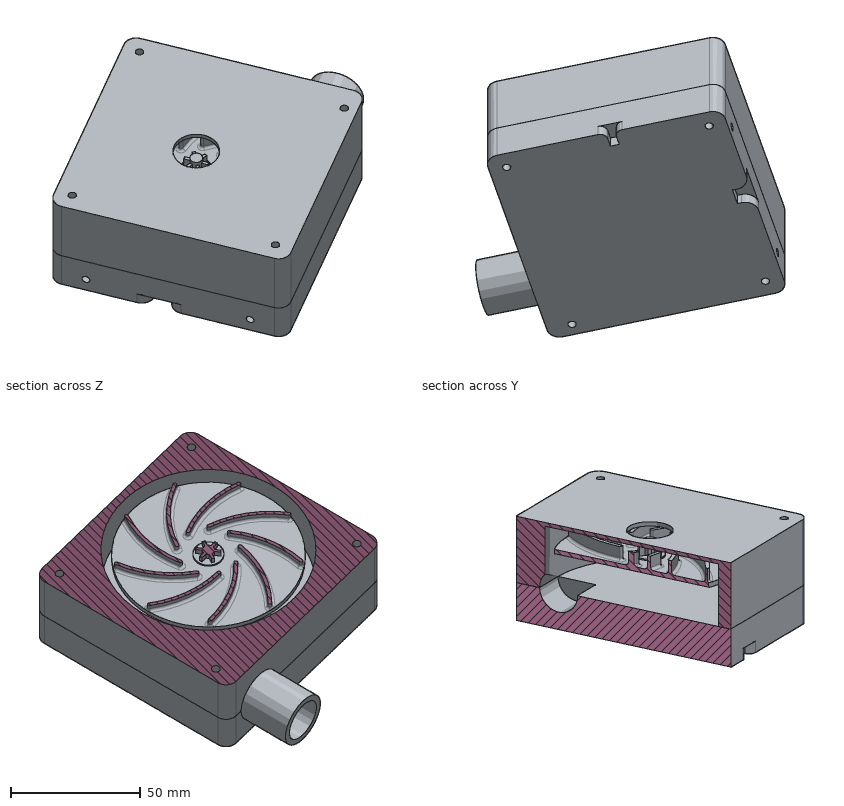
import cadquery as cq
import math

width = 97.0
depth = 95.2
overall_depth = 117.0
base_height = 15.9
total_height = 43.4
lid_height = total_height - base_height
corner_radius = 5.0
half_width = width / 2
half_depth = depth / 2

chamber_diameter = 83.0
wall = 3.4
roof_thickness = 1.8
inlet_diameter = 18.0
chamber_radius = chamber_diameter / 2
axis_x = wall + chamber_radius - half_width
axis_y = wall + chamber_radius - half_depth

pipe_diameter = 22.0
bore_diameter = 17.0
pipe_projection = overall_depth - depth
pipe_insertion = 3.5
pipe_length = pipe_projection + pipe_insertion
pipe_x = axis_x + chamber_radius - bore_diameter / 2
pipe_end_y = half_depth + pipe_projection

screw_diameter = 3.2
screw_inset = 7.0
right_back_inset_x = 5.3
right_back_inset_y = 10.2
screw_points = [
    (screw_inset - half_width, screw_inset - half_depth),
    (screw_inset - half_width, half_depth - screw_inset),
    (half_width - screw_inset, screw_inset - half_depth),
    (half_width - right_back_inset_x, half_depth - right_back_inset_y),
]
side_hole_depth = 7.0
side_hole_spacing = 67.0
side_hole_z = 6.0

notch_height = 4.8
notch_depth = 7.0
front_slot_width = 7.1
front_flare_radius = 5.4
left_slot_width = 3.5
left_flare_radius = 3.0

impeller_diameter = 75.0
disc_thickness = 2.0
floor_z = 33.1
floor_tolerance = 0.01
blade_height = 5.8
blade_thickness = 1.6
blade_fillet = 1.2
blade_count = 9
blade_inner_radius = 12.4
blade_mid_radius = 24.6
blade_outer_radius = 36.3
blade_start_angle = 57.0
blade_mid_sweep = 40.0
blade_outer_sweep = 58.0
hub_diameter = 5.0
hub_top_z = 39.7
boss_diameter = 12.0
boss_height = 0.6
rib_count = 6
rib_reach = 4.9
rib_thickness = 1.3
rib_step = 1.6
rib_height = hub_top_z - rib_step - floor_z


def at_axis(z):
    """Horizontal workplane centred on the impeller axis."""
    return cq.Workplane("XY", origin=(axis_x, axis_y, z))


def rounded_block(height, z):
    block = cq.Workplane("XY", origin=(0, 0, z)).rect(width, depth).extrude(height)
    return block.edges("|Z").fillet(corner_radius)


def screw_holes():
    return cq.Workplane("XY").pushPoints(screw_points).circle(screw_diameter / 2).extrude(total_height)


def y_cylinder(diameter, start_y, end_y):
    """Cylinder along Y on the pipe axis."""
    plane = cq.Workplane("XZ", origin=(pipe_x, end_y, base_height))
    return plane.circle(diameter / 2).extrude(end_y - start_y)


def outlet_cutter():
    """Passage from the chamber, widened at the back wall to seat the pipe."""
    passage = y_cylinder(bore_diameter, axis_y, half_depth)
    socket = y_cylinder(pipe_diameter, half_depth - pipe_insertion, half_depth)
    return passage.union(socket)


def notch(slot_width, flare):
    """Notch cutter entering along +Y from the origin; its mouth widens with two convex arcs."""
    half_slot = slot_width / 2
    half_mouth = half_slot + flare
    bend = flare * (1 - math.sqrt(0.5))
    outline = (
        cq.Workplane("XY")
        .moveTo(-half_mouth, 0)
        .threePointArc((-half_slot - bend, bend), (-half_slot, flare))
        .lineTo(-half_slot, notch_depth)
        .lineTo(half_slot, notch_depth)
        .lineTo(half_slot, flare)
        .threePointArc((half_slot + bend, bend), (half_mouth, 0))
        .close()
    )
    return outline.extrude(notch_height)


def make_base():
    front_notch = notch(front_slot_width, front_flare_radius).translate((axis_x, -half_depth, 0))
    left_notch = notch(left_slot_width, left_flare_radius).rotate((0, 0, 0), (0, 0, 1), -90)
    left_notch = left_notch.translate((-half_width, axis_y, 0))
    side_holes = (
        cq.Workplane("XZ", origin=(0, -half_depth, side_hole_z))
        .pushPoints([(-side_hole_spacing / 2, 0), (side_hole_spacing / 2, 0)])
        .circle(screw_diameter / 2)
        .extrude(-side_hole_depth)
    )
    base = rounded_block(base_height, 0).cut(screw_holes()).cut(outlet_cutter())
    return base.cut(front_notch).cut(left_notch).cut(side_holes)


def make_lid():
    chamber = at_axis(base_height).circle(chamber_radius).extrude(lid_height - roof_thickness)
    inlet = at_axis(base_height).circle(inlet_diameter / 2).extrude(lid_height)
    lid = rounded_block(lid_height, base_height).cut(screw_holes()).cut(outlet_cutter())
    return lid.cut(chamber).cut(inlet)


def make_pipe():
    outside = y_cylinder(pipe_diameter, pipe_end_y - pipe_length, pipe_end_y)
    return outside.cut(y_cylinder(bore_diameter, pipe_end_y - pipe_length, pipe_end_y))


def polar(radius, degrees):
    angle = math.radians(degrees)
    return (radius * math.cos(angle), radius * math.sin(angle))


def blade(start_angle):
    """Backward-curved blade with rounded ends."""
    return (
        at_axis(floor_z)
        .moveTo(*polar(blade_inner_radius, start_angle))
        .threePointArc(
            polar(blade_mid_radius, start_angle - blade_mid_sweep),
            polar(blade_outer_radius, start_angle - blade_outer_sweep),
        )
        .offset2D(blade_thickness / 2)
        .extrude(blade_height)
    )


def rib(angle):
    """Flat-topped radial rib from the hub axis, a step lower than the hub."""
    bar = cq.Workplane("XY").box(rib_reach, rib_thickness, rib_height, centered=(False, True, False))
    return bar.rotate((0, 0, 0), (0, 0, 1), angle).translate((axis_x, axis_y, floor_z))


def is_blade_foot(edge):
    """True for edges lying on the disc's floor, apart from the disc's own rim."""
    box = edge.BoundingBox()
    on_floor = max(abs(box.zmin - floor_z), abs(box.zmax - floor_z)) < floor_tolerance
    return on_floor and edge.Length() < impeller_diameter


def make_impeller():
    impeller = at_axis(floor_z - disc_thickness).circle(impeller_diameter / 2).extrude(disc_thickness)
    for index in range(blade_count):
        impeller = impeller.union(blade(blade_start_angle + index * 360 / blade_count))
    blade_feet = impeller.edges().filter(is_blade_foot)
    impeller = blade_feet.fillet(blade_fillet)
    impeller = impeller.union(at_axis(floor_z).circle(boss_diameter / 2).extrude(boss_height))
    impeller = impeller.union(at_axis(floor_z).circle(hub_diameter / 2).extrude(hub_top_z - floor_z))
    for index in range(rib_count):
        impeller = impeller.union(rib(index * 360 / rib_count))
    return impeller


base = make_base()
lid = make_lid()
pipe = make_pipe()
impeller = make_impeller()

result = cq.Compound.makeCompound([base.val(), lid.val(), pipe.val(), impeller.val()])